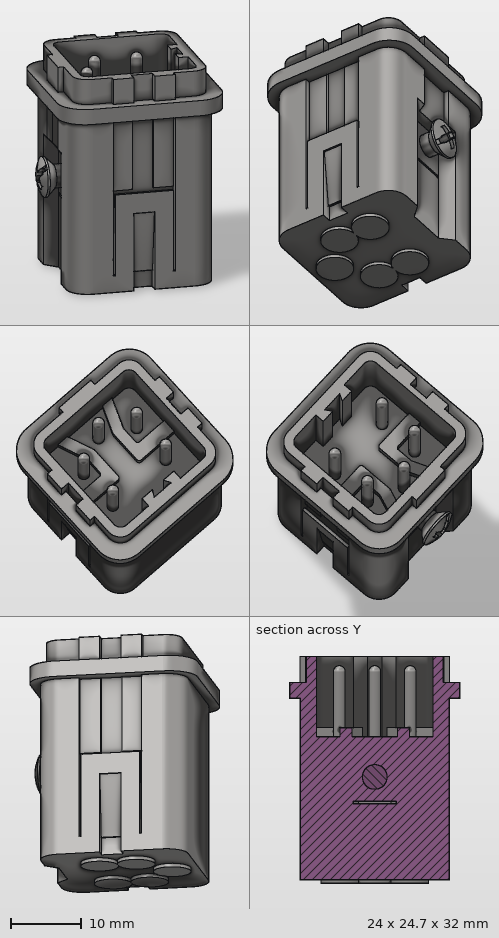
import cadquery as cq
import math

total_height = 32.0
barrel_projection = 0.5
body_bottom = barrel_projection
flange_bottom = 26.08
flange_top = 28.32
cavity_floor = 20.67

flange_width = 24.0
flange_corner = 4.1
body_width = 21.12
body_corner = 3.1
key_height = 0.83
collar_width = body_width - 2 * key_height
collar_corner = 2.25
cavity_width = 16.85
cavity_corner = 1.25
body_half = body_width / 2
collar_half = collar_width / 2
cavity_half = cavity_width / 2

front_key_width = 6.0
side_key_inner = 1.55
side_key_outer = 4.5
side_channel_face = 9.25
side_track_bottom = 15.25

latch_slit = 0.3
latch_top = 14.9
latch_bottom = 2.98
latch_tip_thickness = 0.48
window_top = 11.95
window_face = 9.0
ramp_top_face = 10.3
ramp_bottom_face = 9.3

pocket_depth = 1.73
pocket_floor_top = 18.05
pocket_wall_angle = 45.0
pocket_floor_y = -body_half + pocket_depth
front_slot_bottom = 11.23
front_slot_height = 0.32

rail_width = 6.0
rail_face_y = 7.05
dovetail_mouth = 2.05
dovetail_root = 3.2
dovetail_depth = 1.0

rib_height = 1.28
rib_corner = 0.4
rib_back_y = 1.02
rib_front_y = -1.1
rib_inner_x = 1.75
rib_outer_x = 3.35
rib_inner_knee_y = -4.48
rib_outer_knee_y = -3.95
rib_inner_end_x = 3.33
rib_outer_end_x = 5.12

contact_x = 5.0
contact_y = 3.07
ground_pin_y = -5.55
pin_radius = 0.83
pin_top = 30.7
barrel_radius = 2.65
barrel_x = 4.93
barrel_y = 2.62
ground_barrel_y = 6.8
barrel_top = front_slot_bottom + 2 * front_slot_height

screw_z = 15.0
shank_radius = 1.7
shank_end_y = -5.63
cone_start_y = -10.37
rim_radius = 2.9
rim_back_y = -11.65
rim_front_y = -11.97
screw_tip_y = -12.8
drive_angle = 45.0
slot_width = 0.75
slot_floor_y = -11.95
cross_root_width = 1.12
cross_end_width = 0.95
cross_length = 3.45
cross_floor_y = -11.68


def block(x_range, y_range, z_range):
    """Axis-aligned box given by its end coordinates on each axis."""
    size = [high - low for low, high in (x_range, y_range, z_range)]
    corner = (x_range[0], y_range[0], z_range[0])
    return cq.Workplane("XY").box(*size, centered=False).translate(corner)


def rounded_block(width, corner, bottom, top):
    """Square block with rounded vertical edges, centred on the Z axis."""
    return (
        cq.Workplane("XY", origin=(0, 0, bottom))
        .rect(width, width)
        .extrude(top - bottom)
        .edges("|Z")
        .fillet(corner)
    )


def on_both_sides(shape):
    """The shape on the -X side together with its mirror image on the +X side."""
    return shape.union(shape.mirror("YZ"))


def make_shell():
    """Body, flange and keyed collar around an open cavity."""
    shell = rounded_block(body_width, body_corner, body_bottom, flange_bottom)
    shell = shell.union(rounded_block(flange_width, flange_corner, flange_bottom, flange_top))
    shell = shell.union(rounded_block(collar_width, collar_corner, flange_top, total_height))

    collar_z = (flange_top, total_height)
    front_x = (-front_key_width / 2, front_key_width / 2)
    shell = shell.union(block(front_x, (-body_half, -collar_half), collar_z))
    for y_range in ((side_key_inner, side_key_outer), (-side_key_outer, -side_key_inner)):
        shell = shell.union(on_both_sides(block((-body_half, -collar_half), y_range, collar_z)))

    return shell.cut(rounded_block(cavity_width, cavity_corner, cavity_floor, total_height))


def make_side_tracks():
    """Shallow key track with a deeper centre channel that also passes through flange and collar."""
    track = block(
        (-body_half, -collar_half),
        (-side_key_outer, side_key_outer),
        (side_track_bottom, flange_bottom),
    )
    channel = block(
        (-collar_half, -side_channel_face),
        (-side_key_inner, side_key_inner),
        (side_track_bottom, total_height),
    )
    return on_both_sides(track.union(channel))


def make_latch_slits():
    """Slit around the top and both edges of each latch tongue, and the wedge-shaped gap behind it."""
    depth = (-body_half, -side_channel_face)
    tongue_half = side_key_outer - latch_slit
    outer = block(depth, (-side_key_outer, side_key_outer), (latch_bottom, side_track_bottom))
    tongue = block(depth, (-tongue_half, tongue_half), (latch_bottom, latch_top))
    gap_profile = [
        (-body_half + latch_tip_thickness, latch_top),
        (-side_channel_face, latch_top),
        (-side_channel_face, latch_bottom),
    ]
    gap = cq.Workplane("XZ").polyline(gap_profile).close().extrude(side_key_outer, both=True)
    return on_both_sides(outer.cut(tongue).union(gap))


def make_latch_windows():
    """Open-bottomed window in each tongue, with a ramp that gets deeper downwards."""
    profile = [
        (-body_half, body_bottom),
        (-window_face, body_bottom),
        (-window_face, latch_bottom),
        (-ramp_bottom_face, latch_bottom),
        (-ramp_top_face, window_top),
        (-body_half, window_top),
    ]
    window = cq.Workplane("XZ").polyline(profile).close().extrude(side_key_inner, both=True)
    return on_both_sides(window)


def make_front_pocket():
    """Key track running down into a pocket with sloping walls and an open bottom."""
    track = block(
        (-front_key_width / 2, front_key_width / 2),
        (-body_half, -collar_half),
        (pocket_floor_top, flange_bottom),
    )
    pocket_spread = pocket_depth * math.tan(math.radians(pocket_wall_angle))
    mouth_width = front_key_width + 2 * pocket_spread
    mouth_top = pocket_floor_top + pocket_spread
    mouth_height = mouth_top - body_bottom + 2 * pocket_spread
    mouth_plane = cq.Plane(
        origin=(0, -body_half, mouth_top - mouth_height / 2), xDir=(-1, 0, 0), normal=(0, 1, 0)
    )
    mouth = cq.Workplane(mouth_plane).rect(mouth_width, mouth_height)
    pocket = mouth.extrude(pocket_depth, taper=pocket_wall_angle)
    return track.union(pocket)


def make_front_slot():
    """Narrow horizontal slot in the pocket floor, reaching back to the front barrels' axes."""
    return block(
        (-front_key_width / 2, front_key_width / 2),
        (pocket_floor_y, -barrel_y),
        (front_slot_bottom, front_slot_bottom + front_slot_height),
    )


def make_rail():
    """Rail on the back wall of the cavity with a dovetail groove along it."""
    rail = block((-rail_width / 2, rail_width / 2), (rail_face_y, cavity_half), (cavity_floor, total_height))
    groove_outline = [
        (-dovetail_mouth / 2, rail_face_y),
        (dovetail_mouth / 2, rail_face_y),
        (dovetail_root / 2, rail_face_y + dovetail_depth),
        (-dovetail_root / 2, rail_face_y + dovetail_depth),
    ]
    groove = (
        cq.Workplane("XY", origin=(0, 0, cavity_floor))
        .polyline(groove_outline)
        .close()
        .extrude(total_height - cavity_floor)
    )
    return rail.cut(groove)


def make_ribs():
    """Bent ribs on the cavity floor that fence off the two front contacts."""
    inner_edge = [
        (-cavity_half, rib_back_y),
        (-rib_inner_x, rib_back_y),
        (-rib_inner_x, rib_inner_knee_y),
        (-rib_inner_end_x, -cavity_half),
    ]
    outer_edge = [
        (-rib_outer_end_x, -cavity_half),
        (-rib_outer_x, rib_outer_knee_y),
        (-rib_outer_x, rib_front_y),
        (-cavity_half, rib_front_y),
    ]
    bends = [inner_edge[1], outer_edge[2]]
    rib = (
        cq.Workplane("XY", origin=(0, 0, cavity_floor))
        .polyline(inner_edge + outer_edge)
        .close()
        .extrude(rib_height)
    )
    for bend_x, bend_y in bends:
        bend_point = (bend_x, bend_y, cavity_floor + rib_height / 2)
        rib = rib.edges(cq.NearestToPointSelector(bend_point)).fillet(rib_corner)
    return on_both_sides(rib)


def make_pin(x, y):
    """Round-ended contact pin standing on the cavity floor."""
    return (
        cq.Workplane("XY", origin=(x, y, cavity_floor))
        .circle(pin_radius)
        .extrude(pin_top - pin_radius - cavity_floor)
        .union(cq.Workplane("XY", origin=(x, y, pin_top - pin_radius)).sphere(pin_radius))
    )


def make_barrel(x, y):
    """Cylindrical contact barrel that shows below the body."""
    return cq.Workplane("XY", origin=(x, y, 0)).circle(barrel_radius).extrude(barrel_top)


def make_shank():
    """Screw shank, which is also the shape of its hole in the housing."""
    return (
        cq.Workplane("XZ", origin=(0, shank_end_y, screw_z))
        .circle(shank_radius)
        .extrude(shank_end_y - cone_start_y)
    )


def make_housing():
    """Insulating body with its contacts."""
    housing = make_shell()
    for cutter in (
        make_side_tracks(),
        make_latch_slits(),
        make_latch_windows(),
        make_front_pocket(),
        make_front_slot(),
        make_shank(),
    ):
        housing = housing.cut(cutter)
    housing = housing.union(make_rail()).union(make_ribs())
    for side_x in (-1, 1):
        for side_y in (-1, 1):
            housing = housing.union(make_pin(side_x * contact_x, side_y * contact_y))
            housing = housing.union(make_barrel(side_x * barrel_x, side_y * barrel_y))
    housing = housing.union(make_pin(0, ground_pin_y))
    return housing.union(make_barrel(0, ground_barrel_y))


def make_screw():
    """Raised countersunk screw with a combined slot and cross drive."""
    dome_height = rim_front_y - screw_tip_y
    dome_radius = (rim_radius**2 + dome_height**2) / (2 * dome_height)
    half_angle = math.asin(rim_radius / dome_radius) / 2
    dome_middle = (
        dome_radius * math.sin(half_angle),
        screw_tip_y + dome_radius * (1 - math.cos(half_angle)),
    )
    head = (
        cq.Workplane("XY")
        .moveTo(0, cone_start_y)
        .lineTo(shank_radius, cone_start_y)
        .lineTo(rim_radius, rim_back_y)
        .lineTo(rim_radius, rim_front_y)
        .threePointArc(dome_middle, (0, screw_tip_y))
        .close()
        .revolve(360, (0, 0, 0), (0, 1, 0))
        .translate((0, 0, screw_z))
    )
    screw = head.union(make_shank())

    slot_plane = cq.Workplane("XZ", origin=(0, slot_floor_y, screw_z)).transformed(rotate=(0, 0, drive_angle))
    screw = screw.cut(slot_plane.rect(2 * rim_radius, slot_width).extrude(slot_floor_y - screw_tip_y))

    arm_outline = [
        (-cross_length / 2, -cross_end_width / 2),
        (0, -cross_root_width / 2),
        (cross_length / 2, -cross_end_width / 2),
        (cross_length / 2, cross_end_width / 2),
        (0, cross_root_width / 2),
        (-cross_length / 2, cross_end_width / 2),
    ]
    for angle in (drive_angle, drive_angle + 90):
        arm = (
            cq.Workplane("XZ", origin=(0, cross_floor_y, screw_z))
            .transformed(rotate=(0, 0, angle))
            .polyline(arm_outline)
            .close()
            .extrude(cross_floor_y - screw_tip_y)
        )
        screw = screw.cut(arm)
    return screw


housing = make_housing()
screw = make_screw()
result = cq.Compound.makeCompound([housing.val(), screw.val()])